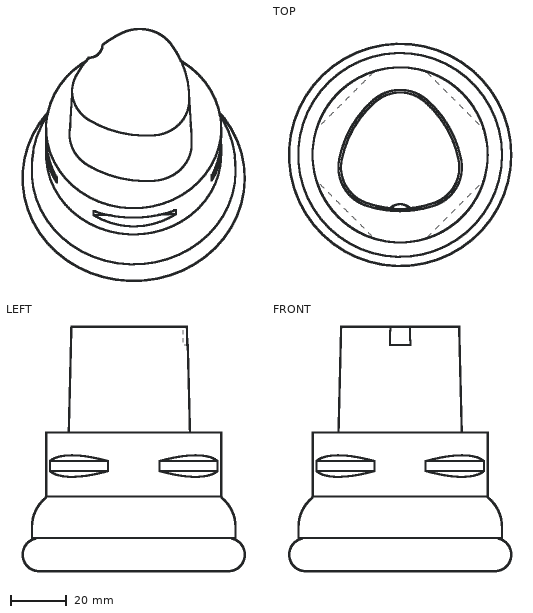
import cadquery as cq
import math

OVERALL_HEIGHT = 88
DISC_DIAMETER = 80.0
RIM_RADIUS = 6.0
DISC_HEIGHT = 2 * RIM_RADIUS

SKIRT_DIAMETER = 73.3
SKIRT_TOP_Z = 16.0
FLANGE_DIAMETER = 63.0
FLANGE_BOTTOM_Z = 26.8
FLANGE_TOP_Z = 50.0
NECK_CHAMFER = 0.5
SHOULDER_RADIUS = 13.4

GROOVE_COUNT = 4
GROOVE_FIRST_ANGLE = 45
GROOVE_MID_Z = 37.8
GROOVE_DEPTH = 3.7
GROOVE_FLOOR_HEIGHT = 3.5
GROOVE_WALL_ANGLE = 30

SHANK_HEIGHT = OVERALL_HEIGHT - FLANGE_TOP_Z
SHANK_LOBES = 3
SHANK_FIRST_LOBE_ANGLE = 90
LOBE_REACH = 23.4
LOBE_RADIUS = 14.5
LOBE_HALF_ANGLE = 41
SHANK_TAPER = 1 / 20

NOTCH_RADIUS = 5.0
NOTCH_INNER_Y = -17.7
NOTCH_DEPTH = 6.6


def polar(radius, degrees):
    angle = math.radians(degrees)
    return (radius * math.cos(angle), radius * math.sin(angle))


def make_cutter_disc():
    flat_radius = DISC_DIAMETER / 2 - RIM_RADIUS
    return (
        cq.Workplane("XZ")
        .lineTo(flat_radius, 0)
        .threePointArc((DISC_DIAMETER / 2, RIM_RADIUS), (flat_radius, DISC_HEIGHT))
        .lineTo(0, DISC_HEIGHT)
        .close()
        .revolve(360, (0, 0), (0, 1))
    )


def make_holder_base():
    skirt_radius = SKIRT_DIAMETER / 2
    flange_radius = FLANGE_DIAMETER / 2
    neck_z = FLANGE_BOTTOM_Z - NECK_CHAMFER
    arc_center_r = skirt_radius - SHOULDER_RADIUS
    arc_end_angle = math.degrees(math.asin((neck_z - SKIRT_TOP_Z) / SHOULDER_RADIUS))
    mid_r, mid_z = polar(SHOULDER_RADIUS, arc_end_angle / 2)
    end_r, end_z = polar(SHOULDER_RADIUS, arc_end_angle)
    return (
        cq.Workplane("XZ")
        .moveTo(0, DISC_HEIGHT)
        .lineTo(skirt_radius, DISC_HEIGHT)
        .lineTo(skirt_radius, SKIRT_TOP_Z)
        .threePointArc(
            (arc_center_r + mid_r, SKIRT_TOP_Z + mid_z),
            (arc_center_r + end_r, SKIRT_TOP_Z + end_z),
        )
        .lineTo(flange_radius, FLANGE_BOTTOM_Z)
        .lineTo(flange_radius, FLANGE_TOP_Z)
        .lineTo(0, FLANGE_TOP_Z)
        .close()
        .revolve(360, (0, 0), (0, 1))
    )


def make_groove(angle):
    """Straight groove across the flange, widening outwards from a flat floor."""
    flange_radius = FLANGE_DIAMETER / 2
    floor_r = flange_radius - GROOVE_DEPTH
    floor_half = GROOVE_FLOOR_HEIGHT / 2
    mouth_half = floor_half + GROOVE_DEPTH * math.tan(math.radians(GROOVE_WALL_ANGLE))
    return (
        cq.Workplane("XZ")
        .polyline([
            (floor_r, GROOVE_MID_Z - floor_half),
            (flange_radius, GROOVE_MID_Z - mouth_half),
            (flange_radius, GROOVE_MID_Z + mouth_half),
            (floor_r, GROOVE_MID_Z + floor_half),
        ])
        .close()
        .extrude(flange_radius, both=True)
        .rotate((0, 0, 0), (0, 0, 1), angle)
    )


def make_shank():
    lobe_pitch = 360 / SHANK_LOBES
    side_half_angle = lobe_pitch / 2 - LOBE_HALF_ANGLE
    lobe_center_reach = LOBE_REACH - LOBE_RADIUS
    side_center_reach = (
        lobe_center_reach
        * math.sin(math.radians(LOBE_HALF_ANGLE))
        / math.sin(math.radians(side_half_angle))
    )
    center_gap = (
        lobe_center_reach
        * math.sin(math.radians(lobe_pitch))
        / math.sin(math.radians(side_half_angle))
    )
    side_reach = LOBE_RADIUS + center_gap - side_center_reach

    def joint(lobe_angle, side):
        center_x, center_y = polar(lobe_center_reach, lobe_angle)
        arc_x, arc_y = polar(LOBE_RADIUS, lobe_angle + side * LOBE_HALF_ANGLE)
        return (center_x + arc_x, center_y + arc_y)

    outline = cq.Workplane("XY", origin=(0, 0, FLANGE_TOP_Z))
    outline = outline.moveTo(*joint(SHANK_FIRST_LOBE_ANGLE, -1))
    for index in range(SHANK_LOBES):
        lobe_angle = SHANK_FIRST_LOBE_ANGLE + index * lobe_pitch
        outline = outline.threePointArc(polar(LOBE_REACH, lobe_angle), joint(lobe_angle, 1))
        outline = outline.threePointArc(
            polar(side_reach, lobe_angle + lobe_pitch / 2),
            joint(lobe_angle + lobe_pitch, -1),
        )
    wall_angle = math.degrees(math.atan(SHANK_TAPER / 2))
    return outline.close().extrude(SHANK_HEIGHT, taper=wall_angle)


def make_notch():
    return (
        cq.Workplane("XY", origin=(0, NOTCH_INNER_Y - NOTCH_RADIUS, OVERALL_HEIGHT))
        .circle(NOTCH_RADIUS)
        .extrude(-NOTCH_DEPTH)
    )


def make_holder():
    body = make_holder_base().union(make_shank()).cut(make_notch())
    for index in range(GROOVE_COUNT):
        body = body.cut(make_groove(GROOVE_FIRST_ANGLE + index * 360 / GROOVE_COUNT))
    return body


cutter_disc = make_cutter_disc()
holder = make_holder()
result = cq.Compound.makeCompound([cutter_disc.val(), *holder.vals()])